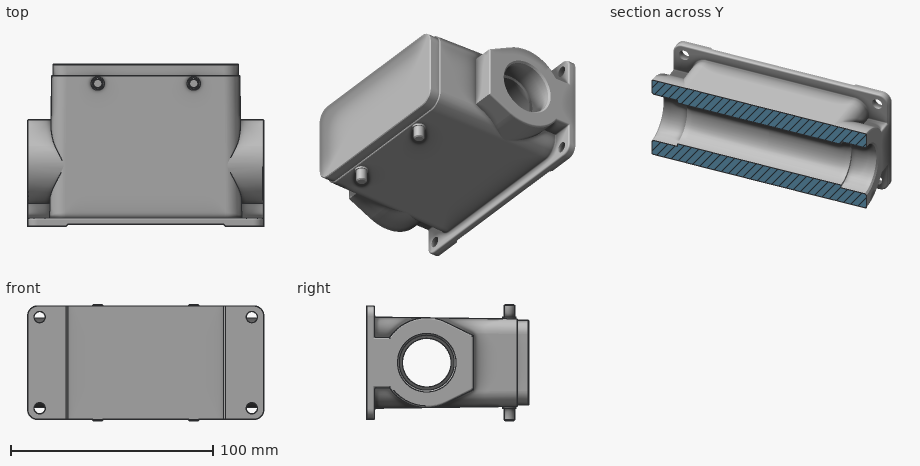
import cadquery as cq
import math

length = 117.0
flange_height = 56.2
flange_thickness = 4.0
flange_corner_radius = 5.0
outer_fillet = 0.85
hole_spacing_x = 105.0
hole_spacing_z = 45.0
hole_diameter = 5.5

relief_depth = 1.0
relief_floor_length = 76.8

total_depth = 80.28
rim_depth = 5.6
body_end_y = total_depth - rim_depth
body_length = 95.1
body_height = 45.2
body_corner_radius = 7.6
draft_angle = 0.75
foot_fillet = 0.6
body_edge_chamfer = 0.3
rim_step = 0.65
rim_edge_chamfer = 0.4

bore_y = 29.75
boss_radius = 22.2
boss_flat_y = 52.8
boss_flat_half_height = 13.4
neck_half_height = 12.4
boss_inner_x = 38.0

entry_diameter = 27.2
entry_depth = 14.0
entry_chamfer = 0.9
bore_diameter = 24.0

pin_span = 57.63
pin_spacing = 47.5
pin_y = 70.65
pin_diameter = 5.3
pin_chamfer = 0.6
pin_collar_diameter = 6.6
pin_collar_span = 45.2

margin = 0.01

draft_inset = (body_end_y - flange_thickness) * math.tan(math.radians(draft_angle))
body_end_length = body_length - 2 * draft_inset
body_end_height = body_height - 2 * draft_inset


def plane_at_y(y):
    """Plane facing +Y, with its local x along -X and its local y along Z."""
    return cq.Plane(origin=(0, y, 0), xDir=(-1, 0, 0), normal=(0, 1, 0))


def rounded_plate(size_x, size_z, radius, y_start, thickness):
    plate = cq.Workplane(plane_at_y(y_start)).rect(size_x, size_z).extrude(thickness)
    return plate.edges("|Y").fillet(radius)


def flange():
    return rounded_plate(length, flange_height, flange_corner_radius, 0, flange_thickness)


def body():
    """Drafted block with constant-radius corners and a broken edge around its rim end."""
    depth = body_end_y - flange_thickness
    block = (
        cq.Workplane(plane_at_y(flange_thickness))
        .rect(body_length, body_height)
        .extrude(depth, taper=draft_angle)
        .edges("not #Y")
        .fillet(body_corner_radius)
    )
    return block.faces(">Y").chamfer(body_edge_chamfer)


def rim():
    plate = rounded_plate(
        body_end_length - 2 * rim_step,
        body_end_height - 2 * rim_step,
        body_corner_radius - rim_step,
        body_end_y,
        rim_depth,
    )
    return plate.faces(">Y").chamfer(rim_edge_chamfer)


def boss_profile(plane):
    """Outline of one cable entry: neck from the flange, round middle and tapered flat end."""
    flat_offset = boss_flat_y - bore_y
    corner_distance = math.hypot(flat_offset, boss_flat_half_height)
    corner_angle = math.atan2(boss_flat_half_height, flat_offset)
    tangent_angle = corner_angle + math.acos(boss_radius / corner_distance)
    tangent_y = bore_y + boss_radius * math.cos(tangent_angle)
    tangent_z = boss_radius * math.sin(tangent_angle)
    neck_y = bore_y - math.sqrt(boss_radius**2 - neck_half_height**2)
    return (
        cq.Workplane(plane)
        .moveTo(0, -neck_half_height)
        .lineTo(neck_y, -neck_half_height)
        .threePointArc((bore_y, -boss_radius), (tangent_y, -tangent_z))
        .lineTo(boss_flat_y, -boss_flat_half_height)
        .lineTo(boss_flat_y, boss_flat_half_height)
        .lineTo(tangent_y, tangent_z)
        .threePointArc((bore_y, boss_radius), (neck_y, neck_half_height))
        .lineTo(0, neck_half_height)
        .close()
    )


def boss():
    plane = cq.Plane(origin=(boss_inner_x, 0, 0), xDir=(0, 1, 0), normal=(1, 0, 0))
    return boss_profile(plane).extrude(length / 2 - boss_inner_x)


def entry_bore():
    """Cutter for one cable entry: chamfered mouth, entry bore and narrower through bore."""
    mouth_x = length / 2
    entry_radius = entry_diameter / 2
    bore_radius = bore_diameter / 2
    return (
        cq.Workplane("XY", origin=(0, bore_y, 0))
        .moveTo(0, 0)
        .lineTo(0, bore_radius)
        .lineTo(mouth_x - entry_depth, bore_radius)
        .lineTo(mouth_x - entry_depth, entry_radius)
        .lineTo(mouth_x - entry_chamfer, entry_radius)
        .lineTo(mouth_x, entry_radius + entry_chamfer)
        .lineTo(mouth_x, 0)
        .close()
        .revolve(360, (0, 0, 0), (1, 0, 0))
    )


def pin_pair(x):
    pin = (
        cq.Workplane("XY", origin=(x, pin_y, 0))
        .circle(pin_diameter / 2)
        .extrude(pin_span / 2, both=True)
        .faces("<Z or >Z")
        .chamfer(pin_chamfer)
    )
    collar = (
        cq.Workplane("XY", origin=(x, pin_y, 0))
        .circle(pin_collar_diameter / 2)
        .extrude(pin_collar_span / 2, both=True)
    )
    return pin.union(collar)


def mounting_holes():
    return (
        cq.Workplane(plane_at_y(0))
        .rarray(hole_spacing_x, hole_spacing_z, 2, 2)
        .circle(hole_diameter / 2)
        .extrude(flange_thickness)
    )


def relief():
    half_floor = relief_floor_length / 2
    half_mouth = half_floor + relief_depth
    return (
        cq.Workplane("XY", origin=(0, 0, -flange_height / 2))
        .polyline([(-half_mouth, 0), (half_mouth, 0), (half_floor, relief_depth), (-half_floor, relief_depth)])
        .close()
        .extrude(flange_height)
    )


def edges_within(solid, low, high):
    """Edges of the solid whose centres lie inside a box."""
    return solid.edges(cq.selectors.BoxSelector(low, high))


def shell():
    """Flange, bosses and body in one piece, with rounded outer edges and a filleted foot."""
    back_low = flange_thickness - margin
    back_high = flange_thickness + margin
    corner_z = flange_height / 2 - flange_corner_radius

    solid = flange().union(boss()).union(boss().mirror("YZ"))
    outer_edges = []
    for side in (-1, 1):
        end_x = side * length / 2
        end_low = (end_x - margin, back_low, -flange_height)
        end_high = (end_x + margin, total_depth, flange_height)
        outer_edges += edges_within(solid, end_low, end_high).vals()
        long_low = (-length, back_low, side * corner_z)
        long_high = (length, back_high, side * flange_height)
        outer_edges += edges_within(solid, long_low, long_high).vals()
    solid = solid.newObject(outer_edges).fillet(outer_fillet).union(body())

    foot_x = length / 2 - outer_fillet
    foot_z = flange_height / 2 - outer_fillet
    foot = edges_within(solid, (-foot_x, back_low, -foot_z), (foot_x, back_high, foot_z))
    return foot.fillet(foot_fillet)


housing = shell().union(rim())
for pin_side in (-1, 1):
    housing = housing.union(pin_pair(pin_side * pin_spacing / 2))
housing = housing.cut(entry_bore()).cut(entry_bore().mirror("YZ"))
result = housing.cut(mounting_holes()).cut(relief())